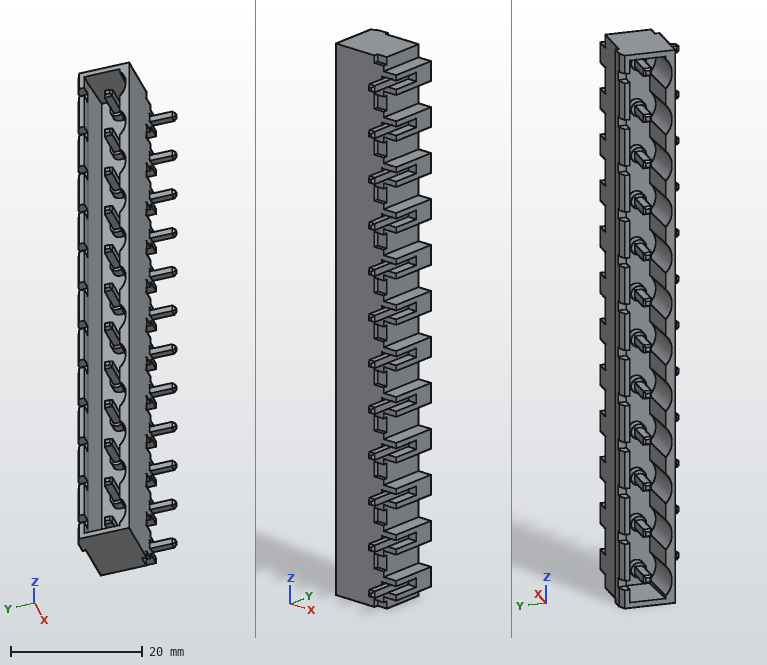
import cadquery as cq
import math

length = 90.0
pin_count = 12
pitch = length / pin_count
pin_places = [pitch * (i + 0.5) for i in range(pin_count)]
recess_places = [pitch * i for i in range(pin_count + 1)]

body_depth = 9.7
body_height = 8.1
total_depth = 12.2

ridge_depth = 3.1
ridge_height = 0.5
ridge_ramp = 1.2

cavity_depth = 7.2
end_wall = 0.9
cavity_bottom = 1.5
cavity_top = 7.3
scallop_radius = 3.4
lip_depth = 1.7
taper_rise = 0.3
slot_width = 1.5

tab_width = 3.2
groove_width = 1.4
groove_start = 9.3
recess_start = 7.8
recess_width = 2.4
recess_height = 0.7

axis_height = 4.0
collar_start = 5.85
collar_diameter = 2.4
contact_start = 1.3
contact_width = 1.3
leg_place = 10.35
leg_width = 1.1
leg_length = 3.9
tip_length = 0.45
tip_inset = 0.3
groove_top = axis_height + groove_width / 2


def block(x_range, y_range, z_range):
    """Box between the given limits along each axis."""
    sizes = [high - low for low, high in (x_range, y_range, z_range)]
    return cq.Workplane("XY").box(*sizes, centered=False).translate((x_range[0], y_range[0], z_range[0]))


def span(centre, width):
    """Limits of a stretch of the given width around its centre."""
    return (centre - width / 2, centre + width / 2)


def taper_angle(inset, run):
    """Angle of a face that moves inwards by the inset over the run."""
    return math.degrees(math.atan2(inset, run))


def make_shell():
    """Housing with its latching ridge, and one standing tab behind each pin."""
    shell = (
        cq.Workplane("XY")
        .moveTo(0, 0)
        .lineTo(body_depth, 0)
        .lineTo(body_depth, body_height)
        .lineTo(ridge_depth, body_height)
        .lineTo(ridge_depth, body_height + ridge_height)
        .lineTo(ridge_ramp, body_height + ridge_height)
        .lineTo(0, body_height)
        .close()
        .extrude(length)
    )
    for z in pin_places:
        shell = shell.union(block((body_depth, total_depth), (0, body_height), span(z, tab_width)))
    return shell


def make_cavity():
    """Mating cavity: both long walls taper inwards, and the lower one is scalloped."""
    cavity = (
        cq.Workplane("XY", origin=(0, 0, end_wall))
        .moveTo(0, cavity_bottom)
        .lineTo(cavity_depth, cavity_bottom + taper_rise)
        .lineTo(cavity_depth, cavity_top - taper_rise)
        .lineTo(lip_depth, cavity_top)
        .lineTo(0, cavity_top)
        .close()
        .extrude(length - 2 * end_wall)
    )
    for z in pin_places:
        scallop = (
            cq.Workplane("YZ", origin=(0, axis_height, z))
            .circle(scallop_radius)
            .extrude(cavity_depth, taper=taper_angle(taper_rise, cavity_depth))
        )
        lower_half = block((0, cavity_depth), (0, axis_height), (end_wall, length - end_wall))
        cavity = cavity.union(scallop.intersect(lower_half))
    return cavity


def pointed_bar(plane, origin, width, bar_length):
    """Square bar from the origin along the plane's normal, tapered at its far end."""
    shank_length = bar_length - tip_length
    shank = cq.Workplane(plane, origin=origin).rect(width, width).extrude(shank_length)
    tip = (
        cq.Workplane(plane, origin=origin)
        .workplane(offset=shank_length)
        .rect(width, width)
        .extrude(tip_length, taper=taper_angle(tip_inset, tip_length))
    )
    return shank.union(tip)


def make_pin(z):
    """Square contact in a round collar, bent down behind the housing into a square leg."""
    collar = (
        cq.Workplane("YZ", origin=(collar_start, axis_height, z))
        .circle(collar_diameter / 2)
        .extrude(cavity_depth - collar_start)
    )
    contact = pointed_bar("ZY", (cavity_depth, axis_height, z), contact_width, cavity_depth - contact_start)
    bridge = block(
        (collar_start, leg_place + leg_width / 2),
        span(axis_height, leg_width),
        span(z, leg_width),
    )
    leg = pointed_bar("XZ", (leg_place, axis_height, z), leg_width, axis_height + leg_length)
    return collar.union(contact).union(bridge).union(leg)


shell = make_shell().cut(make_cavity())

for z in pin_places:
    shell = shell.cut(block((0, lip_depth), (cavity_top, body_height + ridge_height), span(z, slot_width)))
    shell = shell.cut(block((groove_start, total_depth), (0, groove_top), span(z, groove_width)))

for z in recess_places:
    shell = shell.cut(block((recess_start, body_depth), (0, recess_height), span(z, recess_width)))

result = shell
for z in pin_places:
    result = result.union(make_pin(z))